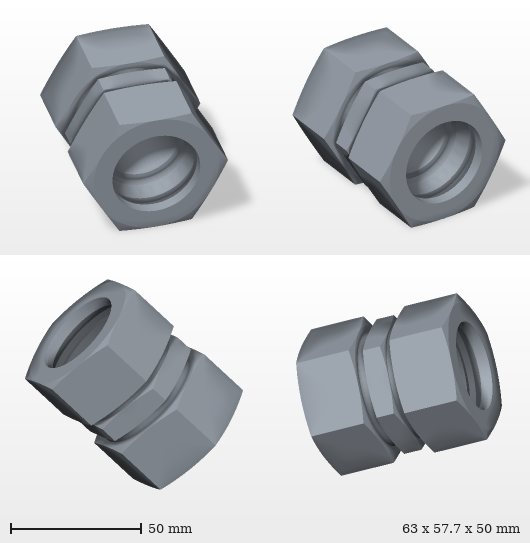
import cadquery as cq
import math


total_length = 63.0
half_length = total_length / 2
nut_length = 24.0
nut_inner_end = half_length - nut_length

nut_across_flats = 50.0
body_across_flats = 46.0
body_hex_width = 9.0
corner_chamfer_angle = 15.0

tube_diameter = 35.0
thread_diameter = 42.85
nut_tube_hole_length = 4.65
nut_cone_half_angle = 45.0

neck_diameter = 45.0
body_length = 40.8
body_bore_diameter = 30.0
cone_mouth_diameter = 38.0
body_cone_half_angle = 12.0
tube_stop_spacing = 19.8


def cone_length(large_diameter, small_diameter, half_angle):
    """Axial length of a cone between two diameters."""
    return (large_diameter - small_diameter) / 2 / math.tan(math.radians(half_angle))


def revolve_about_x(points):
    """Solid of revolution about the X axis from (x, radius) points."""
    return cq.Workplane("XY").polyline(points).close().revolve(360, (0, 0, 0), (1, 0, 0))


def cylinder_along_x(start, length, diameter):
    return cq.Workplane("YZ", origin=(start, 0, 0)).circle(diameter / 2).extrude(length)


def chamfered_hexagon(start, length, across_flats):
    """Hexagonal prism along X whose corners are turned back by a cone at both ends."""
    corner_diameter = across_flats / math.cos(math.radians(30))
    flat_radius = across_flats / 2
    corner_radius = corner_diameter / 2
    chamfer_depth = (corner_radius - flat_radius) * math.tan(math.radians(corner_chamfer_angle))
    end = start + length
    prism = cq.Workplane("YZ", origin=(start, 0, 0)).polygon(6, corner_diameter).extrude(length)
    turned_envelope = revolve_about_x([
        (start, 0),
        (start, flat_radius),
        (start + chamfer_depth, corner_radius),
        (end - chamfer_depth, corner_radius),
        (end, flat_radius),
        (end, 0),
    ])
    return prism.intersect(turned_envelope)


def make_nut(side):
    """Union nut at the -X end (side = -1) or the +X end (side = 1)."""
    cone_start = half_length - nut_tube_hole_length
    cone_end = cone_start - cone_length(thread_diameter, tube_diameter, nut_cone_half_angle)
    bore = revolve_about_x([
        (side * half_length, 0),
        (side * half_length, tube_diameter / 2),
        (side * cone_start, tube_diameter / 2),
        (side * cone_end, thread_diameter / 2),
        (side * nut_inner_end, thread_diameter / 2),
        (side * nut_inner_end, 0),
    ])
    start = -half_length if side < 0 else nut_inner_end
    return chamfered_hexagon(start, nut_length, nut_across_flats).cut(bore)


def body_socket(side):
    """Tapered mouth and tube seat at one end of the body."""
    mouth = body_length / 2
    cone_end = mouth - cone_length(cone_mouth_diameter, tube_diameter, body_cone_half_angle)
    tube_stop = tube_stop_spacing / 2
    return revolve_about_x([
        (side * mouth, 0),
        (side * mouth, cone_mouth_diameter / 2),
        (side * cone_end, tube_diameter / 2),
        (side * tube_stop, tube_diameter / 2),
        (side * tube_stop, 0),
    ])


def make_body():
    """Hexagonal body: threaded ends in the nuts, thicker necks in the gaps between hexagons."""
    threaded_ends = cylinder_along_x(-body_length / 2, body_length, thread_diameter)
    necks = cylinder_along_x(-nut_inner_end, 2 * nut_inner_end, neck_diameter)
    hexagon = chamfered_hexagon(-body_hex_width / 2, body_hex_width, body_across_flats)
    body = threaded_ends.union(necks).union(hexagon)
    body = body.cut(cylinder_along_x(-body_length / 2, body_length, body_bore_diameter))
    for side in (-1, 1):
        body = body.cut(body_socket(side))
    return body


body = make_body()
nuts = [make_nut(side) for side in (-1, 1)]

result = cq.Compound.makeCompound([body.val(), *[nut.val() for nut in nuts]])